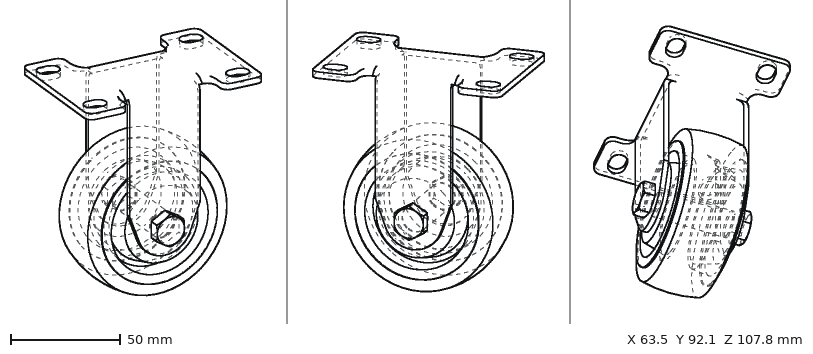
import cadquery as cq
import math


wheel_radius = 37.9
tread_edge_radius = 36.4
tread_half_width = 13.6
shoulder_half_width = 15.1
core_radius = 60.3 / 2
core_half_width = 15.8
recess_rim_radius = 25.3
recess_floor_radius = 24.5
recess_depth = 8.6
hub_root_radius = 21.9
hub_face_radius = 19.1
hub_half_width = 17.5

overall_height = 107.8
plate_width = 63.5
plate_length = 92.1
plate_thickness = 3.1
plate_corner_radius = 4.0
plate_top = overall_height - wheel_radius
plate_bottom = plate_top - plate_thickness
slot_width = 8.1
slot_length = 11.2
slot_x = 22.2
slot_y = 37.3

notch_half_length = 25.0
notch_fillet = 5.0
neck_half_length = notch_half_length - notch_fillet
bend_outer_radius = 6.6
bend_inner_radius = 3.3
blend_sections = 5

leg_outer_x = 20.8
leg_thickness = 2.5
leg_inner_x = leg_outer_x - leg_thickness
leg_half_width = 18.4
leg_tip_radius = 14.2
leg_taper_start_z = 8.8

axle_diameter = 12.7
head_outer_x = 26.5
head_across_flats = 14.2
head_chamfer = 0.6
head_corner_radius = head_across_flats / math.sqrt(3)

bend_center_x = leg_outer_x - bend_outer_radius
bend_center_z = plate_top - bend_outer_radius
bend_bottom_angle = math.acos((plate_bottom - bend_center_z) / bend_outer_radius)
neck_bottom_x = bend_center_x + bend_outer_radius * math.sin(bend_bottom_angle)
blend_start_x = neck_bottom_x + notch_fillet


def centered_box(width, length, bottom, top):
    """Box centred on the Z axis between two heights."""
    return cq.Workplane("XY").workplane(offset=bottom).rect(width, length).extrude(top - bottom)


def make_end_plate(side):
    """Slotted, wide end of the plate at +Y or -Y."""
    length = plate_length / 2 - notch_half_length
    center_y = side * (notch_half_length + length / 2)
    plate = centered_box(plate_width, length, plate_bottom, plate_top)
    plate = plate.edges("|Z").fillet(plate_corner_radius).translate((0, center_y, 0))
    slots = (
        cq.Workplane("XY").workplane(offset=plate_bottom)
        .pushPoints([(-slot_x, side * slot_y), (slot_x, side * slot_y)])
        .slot2D(slot_length, slot_width, 90)
        .extrude(plate_thickness)
    )
    return plate.cut(slots)


def make_bent_channel():
    """Inverted U of the plate neck and both legs, as wide as the neck."""
    outer = centered_box(2 * leg_outer_x, 2 * neck_half_length, -leg_tip_radius, plate_top)
    outer = outer.edges("|Y and >Z").fillet(bend_outer_radius)
    inner = centered_box(2 * leg_inner_x, 2 * neck_half_length, -leg_tip_radius, plate_bottom)
    inner = inner.edges("|Y and >Z").fillet(bend_inner_radius)
    return outer.cut(inner)


def make_leg_outline():
    """Side silhouette of the channel: full neck above, tapered legs with round tips below."""
    corner_distance = math.hypot(leg_half_width, leg_taper_start_z)
    corner_angle = math.atan2(leg_taper_start_z, leg_half_width)
    tangent_angle = corner_angle - math.acos(leg_tip_radius / corner_distance)
    tangent_y = leg_tip_radius * math.cos(tangent_angle)
    tangent_z = leg_tip_radius * math.sin(tangent_angle)
    return (
        cq.Workplane("YZ").workplane(offset=-leg_outer_x)
        .moveTo(-neck_half_length, plate_top)
        .lineTo(neck_half_length, plate_top)
        .lineTo(neck_half_length, plate_bottom)
        .lineTo(leg_half_width, plate_bottom)
        .lineTo(leg_half_width, leg_taper_start_z)
        .lineTo(tangent_y, tangent_z)
        .threePointArc((0, -leg_tip_radius), (-tangent_y, tangent_z))
        .lineTo(-leg_half_width, leg_taper_start_z)
        .lineTo(-leg_half_width, plate_bottom)
        .lineTo(-neck_half_length, plate_bottom)
        .close()
        .extrude(2 * leg_outer_x)
    )


def blend_wire(x, z):
    """Plan section of a notch corner; its arc leaves the notch edge tangentially and ends at x."""
    run = blend_start_x - x
    radius = (run**2 + notch_fillet**2) / (2 * notch_fillet)
    half_turn = math.atan2(notch_fillet, run)
    middle = (
        blend_start_x - radius * math.sin(half_turn),
        notch_half_length - radius * (1 - math.cos(half_turn)),
    )
    section = (
        cq.Workplane("XY").workplane(offset=z)
        .moveTo(0, neck_half_length)
        .lineTo(0, notch_half_length)
        .lineTo(blend_start_x, notch_half_length)
        .threePointArc(middle, (x, neck_half_length))
        .close()
    )
    return section.val()


def make_notch_blend():
    """Corner at +X +Y that turns the bend into the upright notch edge."""
    wires = []
    for index in range(blend_sections):
        angle = bend_bottom_angle * index / (blend_sections - 1)
        x = bend_center_x + bend_outer_radius * math.sin(angle)
        z = bend_center_z + bend_outer_radius * math.cos(angle)
        wires.append(blend_wire(x, z))
    return cq.Workplane(cq.Solid.makeLoft(wires))


def make_head():
    """Hexagonal head at +X with its outer corners chamfered by a cone."""
    head = (
        cq.Workplane("YZ").workplane(offset=leg_outer_x)
        .polygon(6, 2 * head_corner_radius)
        .extrude(head_outer_x - leg_outer_x)
        .rotate((0, 0, 0), (1, 0, 0), 90)
    )
    chamfer_envelope = (
        cq.Workplane("XY")
        .moveTo(leg_outer_x, 0)
        .lineTo(leg_outer_x, head_corner_radius)
        .lineTo(head_outer_x - head_chamfer, head_corner_radius)
        .lineTo(head_outer_x, head_across_flats / 2)
        .lineTo(head_outer_x, 0)
        .close()
        .revolve(360, (0, 0, 0), (1, 0, 0))
    )
    return head.intersect(chamfer_envelope)


def make_axle():
    """Plain round axle that spans the legs."""
    axle = cq.Workplane("YZ").workplane(offset=-leg_outer_x).circle(axle_diameter / 2)
    return axle.extrude(2 * leg_outer_x)


def make_bracket():
    """Plate, legs and axle as one body."""
    bracket = make_bent_channel().intersect(make_leg_outline())
    blend = make_notch_blend()
    blend_pair = blend.union(blend.mirror("YZ"))
    bracket = bracket.union(blend_pair).union(blend_pair.mirror("XZ"))
    for side in (-1, 1):
        bracket = bracket.union(make_end_plate(side))
    head = make_head()
    return bracket.union(make_axle()).union(head).union(head.mirror("YZ"))


def make_wheel():
    """Crowned wheel with a tapered hub standing in a ring recess on each side."""
    recess_floor_x = core_half_width - recess_depth
    axle_radius = axle_diameter / 2
    side_profile = [
        (shoulder_half_width, core_radius),
        (core_half_width, core_radius),
        (core_half_width, recess_rim_radius),
        (recess_floor_x, recess_floor_radius),
        (recess_floor_x, hub_root_radius),
        (hub_half_width, hub_face_radius),
        (hub_half_width, axle_radius),
    ]
    mirrored_profile = [(-x, radius) for x, radius in reversed(side_profile)]
    return (
        cq.Workplane("XY")
        .moveTo(-tread_half_width, tread_edge_radius)
        .threePointArc((0, wheel_radius), (tread_half_width, tread_edge_radius))
        .polyline(side_profile + mirrored_profile, includeCurrent=True)
        .close()
        .revolve(360, (0, 0, 0), (1, 0, 0))
    )


bracket = make_bracket()
wheel = make_wheel()

result = cq.Compound.makeCompound([bracket.solids().val(), wheel.solids().val()])